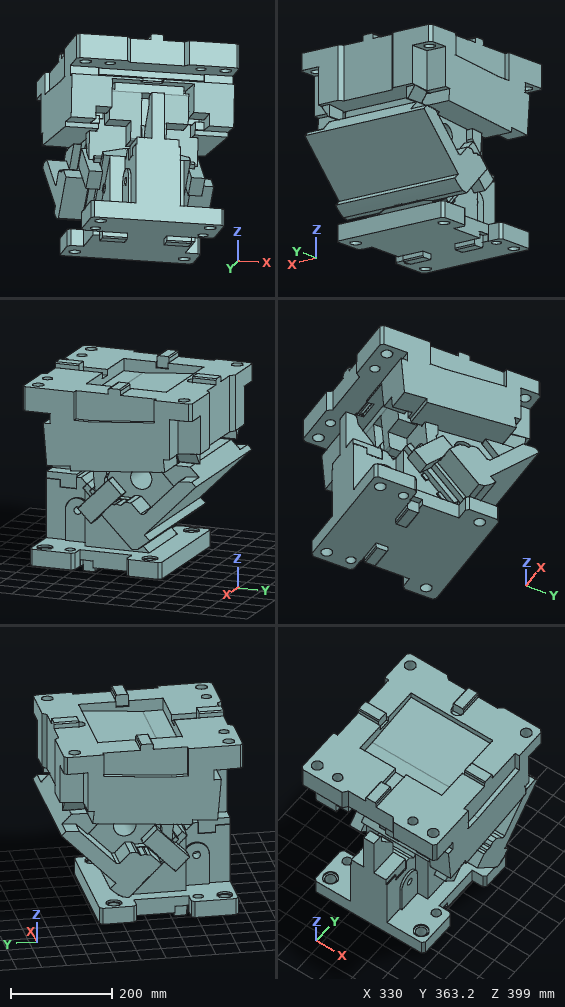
import cadquery as cq
import math


GUIDE_TAN = math.tan(math.radians(5))
GUIDE_BASE_Z = 203.3
CEILING_BASE_Z = 296
LEDGE_BASE_Z = 229
FLANGE_THICK = 20
CLEARANCE = 3
CORNER = 6
KEY_LENGTH = 50
KEY_HEIGHT = 12
KEY_EDGE_RISE = 3
KEY_EDGE_INSET = 2

HOLDER_WIDTH = 330
HOLDER_DEPTH = 360
HOLDER_TOP = 375
PLATE_THICK = 50
REAR_PLATE_THICK = 36
HALF_HOLDER = HOLDER_WIDTH / 2
PLATE_BOTTOM = HOLDER_TOP - PLATE_THICK
REAR_PLATE_BOTTOM = HOLDER_TOP - REAR_PLATE_THICK
WALL_REAR_Y = 313
WALL_FRONT_Y = 59
HOOK_FRONT_Y = 103
CHANNEL_REAR_Y = 303
MOUTH_TOP = 242.5
MOUTH_DEPTH = 96
BROW_HALF, BROW_DEPTH, BROW_BOTTOM = 107, 4, 311
BROW_GAP_HALF, BROW_GAP_DEPTH, BROW_GAP_BOTTOM = 21, 2, 300
FRONT_NOTCH_OUTER, FRONT_NOTCH_INNER = 63, 55
REAR_NOTCH_OUTER, REAR_NOTCH_INNER = 69, 60
SLOT_HALF = 115
REAR_BLOCK_HALF = 118
REAR_BLOCK_FRONT_Y = 300
POCKET_FRONT, POCKET_REAR = 110.5, 280.5
POCKET_HALF = 100
POCKET_FLOOR, POCKET_FLAT_END = 350, 151.5
SIDE_NOTCH = 10
SIDE_NOTCH_FLOOR, SIDE_NOTCH_FLAT_END = 317, 143.5
FRONT_NOTCH = 10
REAR_NOTCH = 8.5
HOLDER_KEY_WIDTH = 26
HOLDER_SLOT_DEPTH = 12
CROSS_KEY_Y = 192
HOLDER_KEY_REAR_Y = HOLDER_DEPTH - REAR_NOTCH
HOLDER_SLOT_ROUND_Y = 300

ROOF_HALF, ROOF_FLAT_HALF = 88, 38
ROOF_FOOT, ROOF_CREST = 194, 215
RAMP_LEVEL = 190
FLANGE_LEVEL = 180.6
STOP_LEVEL = 171.5
SLIDER_SOLE = 203
ROOF_LOW, ROOF_HIGH = -110, 41.7
SOLE_LOW, SOLE_HIGH = -123.5, 27
SOLE_HALF = 102
STOP_HALF = 78
STOP_RANGES = ((-107.5, -72), (-38, -23))
KEEPER_INNER, KEEPER_OUTER = 90, 117.5
KEEPER_LOW, KEEPER_HIGH = -23, 17
KEEPER_BOTTOM, KEEPER_TOP = 157, 249

TIP_Y, TIP_Z = 363.15, 202
WING_TIP_LENGTH = 9
BODY_TIP_LENGTH = 28
WING_HALF = 150
BODY_HALF = 110
FLANGE_HALF = SLOT_HALF - CLEARANCE
NECK_HALF = 94.5
TONGUE_HALF = 83
SLIDER_FRONT_Y = 128
HEAD_HALF = 80
CROWN_HALF = 70
HEAD_SLOT_WEB = 10
HEAD_FRONT_Y = 85
HEAD_BOTTOM = 227.5
HEAD_BEND_Z, HEAD_SHOULDER_Z = 285, 289
NOSE_HALF = 36
NOSE_BOTTOM = 188
NOSE_ROUND = 5
NOSE_ROLL_Y, NOSE_ROLL_Z, NOSE_ROLL_R = 99.5, 202, 20.5
NOSE_SLOT_HALF = 15
CROSS_HOLE_Y, CROSS_HOLE_Z, CROSS_HOLE_D = 225, 191.5, 45

DRIVER_HALF = 135
DRIVER_FRONT, DRIVER_REAR = 3, 283
DRIVER_THICK = 34.5
WAIST_HALF = 103
WAIST_FRONT, WAIST_REAR = 98, 208
RAMP_BLOCK_HALF = 75
POST_HALF = 45
CAP_HALF = 42.5
CAP_TOP = 170
CAP_REAR_Y = 67.6
TAB_HALF = 12.7
TAB_TOP = 264
PAD_THICK = 5
PAD_FRONT_Y, PAD_REAR_Y = 46, WAIST_FRONT
PAD_TOP = 123.5
PIN_HOLE_Y, PIN_HOLE_Z, PIN_HOLE_D, PIN_HOLE_DEPTH = 72, 98, 15, 25
DRILL_TIP = 4.5
DRIVER_KEY_WIDTH = 26
DRIVER_KEY_Y = 112.5
DRIVER_KEY_INNER = 40
DRIVER_SLOT_DEPTH = 14


def guide_z(base_z, y):
    """Height at y of the 5 degree plane that passes through base_z at Y = 0."""
    return base_z + y * GUIDE_TAN


def ramp(a, n):
    """(Y, Z) of the point a up the ramp at level n."""
    return ((n - a) / math.sqrt(2), (n + a) / math.sqrt(2))


def box(x0, x1, y0, y1, z0, z1):
    return cq.Workplane("XY").box(x1 - x0, y1 - y0, z1 - z0, centered=False).translate((x0, y0, z0))


def extrude_x(profile, x0, x1):
    """Closed YZ sketch or list of YZ points, extruded from x0 to x1."""
    if isinstance(profile, list):
        profile = cq.Workplane("YZ").polyline(profile).close()
    return profile.extrude(x1 - x0).translate((x0, 0, 0))


def centred_x(profile, half_width):
    return extrude_x(profile, -half_width, half_width)


def both_sides(shape):
    """The shape together with its mirror image across X = 0."""
    return shape.union(shape.mirror("YZ"))


def ramp_block(a0, a1, n0, n1, x0, x1):
    return extrude_x([ramp(a0, n0), ramp(a1, n0), ramp(a1, n1), ramp(a0, n1)], x0, x1)


def roof_prism(a0, a1, bottom):
    """Roof-shaped slideway, extruded along the ramp from a0 to a1, from level bottom upward."""
    start = ramp(a0, 0)
    plane = cq.Plane(origin=(0, *start), xDir=(1, 0, 0), normal=(0, -1, 1))
    outline = [
        (-ROOF_HALF, bottom), (-ROOF_HALF, ROOF_FOOT), (-ROOF_FLAT_HALF, ROOF_CREST),
        (ROOF_FLAT_HALF, ROOF_CREST), (ROOF_HALF, ROOF_FOOT), (ROOF_HALF, bottom),
    ]
    return cq.Workplane(plane).polyline(outline).close().extrude(a1 - a0)


def key(width, foot_z, top_z):
    """Key running from X = 0 to KEY_LENGTH, centred on Y = 0, its long top edges bevelled."""
    half = width / 2
    return extrude_x([
        (-half, foot_z), (half, foot_z), (half, top_z - KEY_EDGE_RISE), (half - KEY_EDGE_INSET, top_z),
        (-half + KEY_EDGE_INSET, top_z), (-half, top_z - KEY_EDGE_RISE),
    ], 0, KEY_LENGTH)


def flange_layer(front_y, rear_y, half_width):
    """Inclined layer on the hook ledges, as thick as the slider flange."""
    return centred_x([
        (front_y, guide_z(LEDGE_BASE_Z, front_y)), (rear_y, guide_z(LEDGE_BASE_Z, rear_y)),
        (rear_y, guide_z(LEDGE_BASE_Z + FLANGE_THICK, rear_y)),
        (front_y, guide_z(LEDGE_BASE_Z + FLANGE_THICK, front_y)),
    ], half_width)


def pocket_profile(floor_z, flat_end):
    """Pocket section: flat floor in front, rising at the guide angle behind flat_end."""
    rear_floor = floor_z + (POCKET_REAR - flat_end) * GUIDE_TAN
    return [
        (POCKET_FRONT, HOLDER_TOP), (POCKET_FRONT, floor_z), (flat_end, floor_z),
        (POCKET_REAR, rear_floor), (POCKET_REAR, HOLDER_TOP),
    ]


def end_notch(face_y, inward, depth, outer_half, inner_half, bottom_z):
    """Tapered notch cut into the middle of a plate end."""
    floor_y = face_y + inward * depth
    outline = [(-outer_half, face_y), (-inner_half, floor_y), (inner_half, floor_y), (outer_half, face_y)]
    notch = cq.Workplane("XY").workplane(offset=bottom_z).polyline(outline).close()
    return notch.extrude(HOLDER_TOP - bottom_z)


def holder_blank():
    toe_y, toe_z = 52, 217.5
    lip_y, lip_z = 44.5, 304.5
    step_y = HOOK_FRONT_Y - 1
    step_z = toe_z + (HOOK_FRONT_Y - toe_y) * GUIDE_TAN
    walls = centred_x([
        (WALL_FRONT_Y, HOLDER_TOP), (WALL_REAR_Y, HOLDER_TOP),
        (WALL_REAR_Y, guide_z(LEDGE_BASE_Z, WALL_REAR_Y)),
        (REAR_BLOCK_FRONT_Y, guide_z(LEDGE_BASE_Z, REAR_BLOCK_FRONT_Y)),
        (CHANNEL_REAR_Y, guide_z(GUIDE_BASE_Z, CHANNEL_REAR_Y)),
        (HOOK_FRONT_Y, guide_z(GUIDE_BASE_Z, HOOK_FRONT_Y)), (step_y, step_z),
        (toe_y, toe_z), (lip_y, lip_z), (WALL_FRONT_Y, lip_z),
    ], HALF_HOLDER)
    plate = box(-HALF_HOLDER, HALF_HOLDER, 0, HOLDER_DEPTH, REAR_PLATE_BOTTOM, HOLDER_TOP)
    front_plate = box(-HALF_HOLDER, HALF_HOLDER, 0, WALL_REAR_Y, PLATE_BOTTOM, HOLDER_TOP)
    plates = plate.union(front_plate).edges("|Z and (<Y or >Y)").edges("<X or >X").chamfer(CORNER)
    rear = centred_x([
        (REAR_BLOCK_FRONT_Y, HOLDER_TOP), (HOLDER_DEPTH, HOLDER_TOP),
        (HOLDER_DEPTH, guide_z(LEDGE_BASE_Z, HOLDER_DEPTH)),
        (REAR_BLOCK_FRONT_Y, guide_z(LEDGE_BASE_Z, REAR_BLOCK_FRONT_Y)),
    ], REAR_BLOCK_HALF)
    return plates.union(walls).union(rear).union(rear_ribs())


def rear_ribs():
    """Ribs under the rear block whose outer faces slant inward."""
    inner, toe, bottom, top = 97, 100, 235, 260
    front_y, rear_y = 308, 351
    outline = [
        (inner, top), (REAR_BLOCK_HALF, top), (toe, bottom), (inner, bottom),
    ]
    rib = cq.Workplane("XZ", origin=(0, rear_y, 0)).polyline(outline).close().extrude(rear_y - front_y)
    return both_sides(rib)


def channel():
    """T-slot for the slider along the guide angle, with a wide mouth and a brow recess at the front."""
    floor_z = 150

    def under(base_z, half_width):
        return centred_x([
            (0, floor_z), (CHANNEL_REAR_Y, floor_z), (CHANNEL_REAR_Y, guide_z(base_z, CHANNEL_REAR_Y)),
            (0, guide_z(base_z, 0)),
        ], half_width)

    upper = under(CEILING_BASE_Z, TONGUE_HALF)
    neck = under(LEDGE_BASE_Z, NECK_HALF + CLEARANCE)
    flange_slot = flange_layer(0, CHANNEL_REAR_Y, SLOT_HALF)
    mouth = box(-SLOT_HALF, SLOT_HALF, 0, MOUTH_DEPTH, floor_z, MOUTH_TOP)
    flange_slot = flange_slot.cut(box(-SLOT_HALF, SLOT_HALF, 0, MOUTH_DEPTH, MOUTH_TOP, HOLDER_TOP))
    brow = box(-BROW_HALF, BROW_HALF, 0, WALL_FRONT_Y + BROW_DEPTH, BROW_BOTTOM, PLATE_BOTTOM)
    brow_gap = box(
        -BROW_GAP_HALF, BROW_GAP_HALF, 0, WALL_FRONT_Y + BROW_GAP_DEPTH, BROW_GAP_BOTTOM, BROW_BOTTOM,
    )
    return upper.union(neck).union(flange_slot).union(mouth).union(brow).union(brow_gap)


def holder_slots():
    floor_z = HOLDER_TOP - HOLDER_SLOT_DEPTH
    half = HOLDER_KEY_WIDTH / 2
    cross = box(-HALF_HOLDER, HALF_HOLDER, CROSS_KEY_Y - half, CROSS_KEY_Y + half, floor_z, HOLDER_TOP)
    front = box(-half, half, 0, POCKET_FRONT, floor_z, HOLDER_TOP)
    rear = box(-half, half, HOLDER_SLOT_ROUND_Y, HOLDER_DEPTH, floor_z, HOLDER_TOP)
    rear_end = cq.Workplane("XY", origin=(0, HOLDER_SLOT_ROUND_Y, floor_z)).circle(half)
    return cross.union(front).union(rear).union(rear_end.extrude(HOLDER_SLOT_DEPTH))


def holder_keys():
    foot_z = HOLDER_TOP - HOLDER_SLOT_DEPTH
    one = key(HOLDER_KEY_WIDTH, foot_z, HOLDER_TOP + KEY_HEIGHT)
    side = one.translate((HALF_HOLDER - SIDE_NOTCH - KEY_LENGTH, CROSS_KEY_Y, 0))
    lengthwise = one.rotate((0, 0, 0), (0, 0, 1), 90)
    front = lengthwise.translate((0, FRONT_NOTCH, 0))
    rear = lengthwise.translate((0, HOLDER_KEY_REAR_Y - KEY_LENGTH, 0))
    return both_sides(side).union(front).union(rear)


def holder_holes():
    corner_x, dowel_x, front_y, rear_y = 142, 92, 25, 335
    bolts = cq.Workplane("XY").workplane(offset=PLATE_BOTTOM)
    bolts = bolts.pushPoints([(sx * corner_x, y) for sx in (-1, 1) for y in (front_y, rear_y)])
    bolts = bolts.circle(23 / 2).extrude(PLATE_THICK)
    dowels = cq.Workplane("XY").workplane(offset=PLATE_BOTTOM)
    dowels = dowels.pushPoints([(-dowel_x, front_y), (dowel_x, front_y)]).circle(20 / 2).extrude(PLATE_THICK)
    return bolts.union(dowels)


def make_holder():
    pocket = centred_x(pocket_profile(POCKET_FLOOR, POCKET_FLAT_END), POCKET_HALF)
    side_profile = pocket_profile(SIDE_NOTCH_FLOOR, SIDE_NOTCH_FLAT_END)
    side_notches = both_sides(extrude_x(side_profile, HALF_HOLDER - SIDE_NOTCH, HALF_HOLDER))
    body = holder_blank().cut(channel()).cut(pocket)
    body = body.cut(side_notches).cut(holder_slots())
    body = body.cut(end_notch(0, 1, FRONT_NOTCH, FRONT_NOTCH_OUTER, FRONT_NOTCH_INNER, PLATE_BOTTOM))
    rear_notch = end_notch(HOLDER_DEPTH, -1, REAR_NOTCH, REAR_NOTCH_OUTER, REAR_NOTCH_INNER, LEDGE_BASE_Z)
    body = body.cut(rear_notch)
    return body.cut(holder_holes()).union(holder_keys())


HEEL = [(253.7, 92.5), (265.2, 82)]
HEEL_BULGE, HEEL_END = (253, 71), (240, 62)
SOLE_END = ramp(-118, SLIDER_SOLE)
WING_FRONT = ramp(-25, SLIDER_SOLE)


def close_heel(sketch):
    """Finish a slider outline along the rounded heel, from the sole back to the first point."""
    return sketch.lineTo(*HEEL_END).threePointArc(HEEL_BULGE, HEEL[1]).lineTo(*HEEL[0]).close()


def wing_profile():
    sketch = cq.Workplane("YZ").moveTo(TIP_Y, TIP_Z).lineTo(TIP_Y - WING_TIP_LENGTH, TIP_Z + WING_TIP_LENGTH)
    sketch = sketch.lineTo(326.7, 209).lineTo(252.3, 134.6).lineTo(245.7, 134.6).lineTo(225, 155.3)
    sketch = sketch.lineTo(213, 155.3).threePointArc((209, 153.2), (206, 150))
    sketch = sketch.lineTo(203, 148).lineTo(194, 150).lineTo(190, 148).lineTo(183.5, 148)
    sketch = sketch.lineTo(*WING_FRONT).lineTo(*SOLE_END)
    return close_heel(sketch)


def slider_front_y(base_z):
    """Y where the slider's front face, square to the guide, meets the guide plane of base_z."""
    return SLIDER_FRONT_Y - (base_z - GUIDE_BASE_Z) * GUIDE_TAN / (1 + GUIDE_TAN ** 2)


def body_profile():
    front_base = guide_z(GUIDE_BASE_Z, SLIDER_FRONT_Y)
    sole_sum = SLIDER_SOLE * math.sqrt(2)
    front_foot_z = (sole_sum - SLIDER_FRONT_Y - front_base * GUIDE_TAN) / (1 - GUIDE_TAN)
    sketch = cq.Workplane("YZ").moveTo(TIP_Y, TIP_Z)
    sketch = sketch.lineTo(TIP_Y - BODY_TIP_LENGTH, TIP_Z + BODY_TIP_LENGTH)
    sketch = sketch.lineTo(CHANNEL_REAR_Y, guide_z(GUIDE_BASE_Z, CHANNEL_REAR_Y))
    sketch = sketch.lineTo(SLIDER_FRONT_Y, guide_z(GUIDE_BASE_Z, SLIDER_FRONT_Y))
    sketch = sketch.lineTo(sole_sum - front_foot_z, front_foot_z).lineTo(*SOLE_END)
    return close_heel(sketch)


def tongue():
    """Part of the slider inside the holder channel: neck, flange over the hooks and upper guide."""
    foot_y = slider_front_y(GUIDE_BASE_Z)

    def layer(base_z, half_width):
        front_y = slider_front_y(base_z)
        return centred_x([
            (foot_y, guide_z(GUIDE_BASE_Z, foot_y)), (CHANNEL_REAR_Y, guide_z(GUIDE_BASE_Z, CHANNEL_REAR_Y)),
            (CHANNEL_REAR_Y, guide_z(base_z, CHANNEL_REAR_Y)), (front_y, guide_z(base_z, front_y)),
        ], half_width)

    flange = flange_layer(SLIDER_FRONT_Y, CHANNEL_REAR_Y, FLANGE_HALF)
    return layer(LEDGE_BASE_Z, NECK_HALF).union(layer(CEILING_BASE_Z, TONGUE_HALF)).union(flange)


def head():
    """Forked head in front of the tongue, carrying a roller between its two nose plates."""
    rear_y = SLIDER_FRONT_Y + 4
    bend_y = HEAD_FRONT_Y - (HEAD_BEND_Z - HEAD_BOTTOM) * GUIDE_TAN
    block = centred_x([
        (HEAD_FRONT_Y, HEAD_BOTTOM), (rear_y, HEAD_BOTTOM), (rear_y, HEAD_SHOULDER_Z),
        (bend_y, HEAD_SHOULDER_Z), (bend_y, HEAD_BEND_Z),
    ], HEAD_HALF)
    crown = centred_x([
        (bend_y, HEAD_SHOULDER_Z), (rear_y, HEAD_SHOULDER_Z),
        (rear_y, guide_z(CEILING_BASE_Z, rear_y)), (bend_y, guide_z(CEILING_BASE_Z, bend_y)),
    ], CROWN_HALF)
    nose_front_y = HEAD_FRONT_Y + (HEAD_BOTTOM - NOSE_BOTTOM) * GUIDE_TAN
    nose = centred_x([
        (nose_front_y, NOSE_BOTTOM), (rear_y, NOSE_BOTTOM),
        (rear_y, HEAD_BOTTOM), (HEAD_FRONT_Y, HEAD_BOTTOM),
    ], NOSE_HALF)
    nose = nose.edges("|X").edges("<Z").edges("<Y").fillet(NOSE_ROUND)
    slot = box(-NOSE_SLOT_HALF, NOSE_SLOT_HALF, 0, SLIDER_FRONT_Y - HEAD_SLOT_WEB, NOSE_BOTTOM, HEAD_BEND_Z)
    roller = cq.Workplane("YZ").center(NOSE_ROLL_Y, NOSE_ROLL_Z).circle(NOSE_ROLL_R)
    return block.union(crown).union(nose).cut(slot).union(centred_x(roller, NOSE_SLOT_HALF))


def side_recesses():
    """Recess down to neck width around the cross hole on each side of the body."""
    outline = [
        (302.3, 184.5), (263.5, 225.7), (263.5, 250), (157, 250), (157.5, 196), (153.5, 188), (153.5, 150),
        (228, 150), (245.7, 134.6), (252.3, 134.6),
    ]
    return both_sides(extrude_x(outline, NECK_HALF, BODY_HALF))


def make_slider():
    body = centred_x(body_profile(), BODY_HALF).cut(side_recesses())
    body = body.union(centred_x(wing_profile(), WING_HALF)).union(tongue()).union(head())
    body = body.union(ramp_block(SOLE_LOW, SOLE_HIGH, ROOF_FOOT, SLIDER_SOLE, -SOLE_HALF, SOLE_HALF))
    keeper = ramp_block(KEEPER_LOW, KEEPER_HIGH, KEEPER_BOTTOM, KEEPER_TOP, KEEPER_INNER, KEEPER_OUTER)
    body = body.union(both_sides(keeper))
    body = body.cut(roof_prism(SOLE_LOW, ROOF_HIGH, ROOF_FOOT - 30))
    cross_hole = cq.Workplane("YZ").center(CROSS_HOLE_Y, CROSS_HOLE_Z).circle(CROSS_HOLE_D / 2)
    return body.cut(centred_x(cross_hole, WING_HALF))


def driver_plate():
    plate = box(-DRIVER_HALF, DRIVER_HALF, DRIVER_FRONT, DRIVER_REAR, 0, DRIVER_THICK)
    waist = both_sides(box(WAIST_HALF, DRIVER_HALF, WAIST_FRONT, WAIST_REAR, 0, DRIVER_THICK))
    plate = plate.cut(waist)
    return plate.edges("|Z").edges("<X or >X").chamfer(CORNER)


def driver_holes():
    bolt_x, bolt_front, bolt_rear, dowel_x, dowel_y = 111, 27, 250, 109, 80
    bolt_d, counterbore_d, counterbore_depth, dowel_d = 23, 31, 4, 20
    bolt_spots = [(sx * bolt_x, y) for sx in (-1, 1) for y in (bolt_front, bolt_rear)]
    through = cq.Workplane("XY").pushPoints(bolt_spots).circle(bolt_d / 2).extrude(DRIVER_THICK)
    bores = cq.Workplane("XY").workplane(offset=DRIVER_THICK - counterbore_depth)
    bores = bores.pushPoints(bolt_spots).circle(counterbore_d / 2).extrude(counterbore_depth)
    dowels = cq.Workplane("XY").pushPoints([(-dowel_x, dowel_y), (dowel_x, dowel_y)])
    return through.union(bores).union(dowels.circle(dowel_d / 2).extrude(DRIVER_THICK))


def ramp_blocks():
    """Ramp body with the roof-shaped slideway, its flanges and the stops beneath them."""
    foot_y = RAMP_LEVEL * math.sqrt(2) - DRIVER_THICK
    end_offset = ROOF_HIGH * math.sqrt(2)
    body = centred_x([
        (WAIST_FRONT, DRIVER_THICK), (foot_y, DRIVER_THICK), ramp(ROOF_HIGH, RAMP_LEVEL),
        (WAIST_FRONT, WAIST_FRONT + end_offset),
    ], RAMP_BLOCK_HALF)
    body = body.union(roof_prism(ROOF_LOW, ROOF_HIGH, FLANGE_LEVEL))
    for low, high in STOP_RANGES:
        body = body.union(ramp_block(low, high, STOP_LEVEL, RAMP_LEVEL, -STOP_HALF, STOP_HALF))
    return body


def post():
    """Front post with its cap and the upright guide tab."""
    ledge_y, ledge_z, seat_z = 33, 156, 141
    column = centred_x([
        (DRIVER_FRONT, DRIVER_THICK), (DRIVER_FRONT, ledge_z), (ledge_y, ledge_z), (ledge_y, seat_z),
        (CAP_REAR_Y, seat_z), (CAP_REAR_Y, 165), (77.6, 165), (92, 150.6),
        (WAIST_FRONT, 156.6), (WAIST_FRONT, DRIVER_THICK),
    ], POST_HALF)
    cap = centred_x([
        (DRIVER_FRONT, ledge_z), (DRIVER_FRONT, CAP_TOP), (CAP_REAR_Y, CAP_TOP),
        (CAP_REAR_Y, seat_z), (ledge_y, seat_z), (ledge_y, ledge_z),
    ], CAP_HALF)
    tab = cq.Workplane("YZ").moveTo(DRIVER_FRONT, CAP_TOP).lineTo(DRIVER_FRONT, TAB_TOP)
    tab = tab.lineTo(24.5, TAB_TOP).lineTo(27.5, 260.5).lineTo(29.5, 246.5)
    tab = tab.threePointArc((31, 242.5), (33, 239.5)).lineTo(59, 211.5)
    tab = tab.threePointArc((64, 205.5), (CAP_REAR_Y, 197.5)).lineTo(CAP_REAR_Y, CAP_TOP).close()
    return column.union(cap).union(centred_x(tab, TAB_HALF))


def pads():
    """Round-topped pads on both sides of the post."""
    radius = (PAD_REAR_Y - PAD_FRONT_Y) / 2
    spring_z = PAD_TOP - radius
    outline = cq.Workplane("YZ").moveTo(PAD_FRONT_Y, DRIVER_THICK).lineTo(PAD_FRONT_Y, spring_z)
    outline = outline.threePointArc((PAD_FRONT_Y + radius, PAD_TOP), (PAD_REAR_Y, spring_z))
    outline = outline.lineTo(PAD_REAR_Y, DRIVER_THICK).close()
    return both_sides(extrude_x(outline, POST_HALF, POST_HALF + PAD_THICK))


def pin_holes():
    """Blind drilled hole with a conical bottom in each pad."""
    face_x = POST_HALF + PAD_THICK
    end_x = face_x - PIN_HOLE_DEPTH
    radius = PIN_HOLE_D / 2
    half_section = [(face_x, 0), (face_x, radius), (end_x, radius), (end_x - DRILL_TIP, 0)]
    hole = cq.Workplane("XY").polyline(half_section).close().revolve(360, (0, 0, 0), (1, 0, 0))
    return both_sides(hole.translate((0, PIN_HOLE_Y, PIN_HOLE_Z)))


def driver_key_slots():
    half = DRIVER_KEY_WIDTH / 2
    slot = box(DRIVER_KEY_INNER, WAIST_HALF, DRIVER_KEY_Y - half, DRIVER_KEY_Y + half, 0, DRIVER_SLOT_DEPTH)
    return both_sides(slot)


def driver_keys():
    upright = key(DRIVER_KEY_WIDTH, -DRIVER_SLOT_DEPTH, KEY_HEIGHT)
    hanging = upright.rotate((0, 0, 0), (1, 0, 0), 180)
    return both_sides(hanging.translate((DRIVER_KEY_INNER, DRIVER_KEY_Y, 0)))


def make_driver():
    body = driver_plate().cut(driver_holes()).cut(driver_key_slots()).union(driver_keys())
    return body.union(ramp_blocks()).union(post()).union(pads()).cut(pin_holes())


holder = make_holder()
slider = make_slider()
driver = make_driver()

result = cq.Compound.makeCompound([holder.val(), slider.val(), driver.val()])